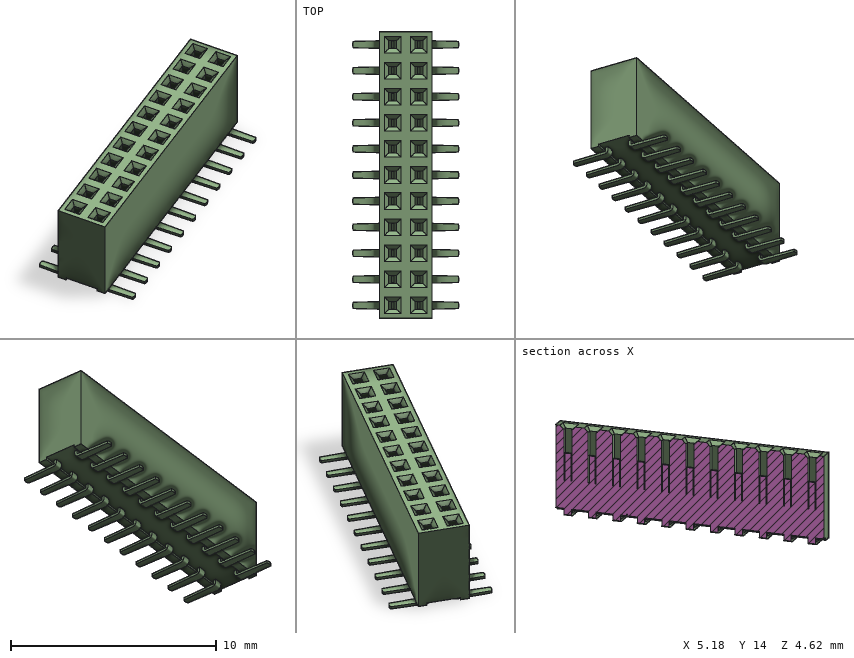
import cadquery as cq


rows = 11
body_length = 13.97
pitch = body_length / rows

overall_width = 5.18
overall_height = 4.62
body_width = 2.57
body_bottom = 0.24
channel_height = 0.13
foot_width = 0.43

funnel_size = 0.81
hole_size = 0.39
funnel_depth = 0.2
hole_depth = 2.8

lead_thickness = 0.14
lead_root_width = 0.4
lead_tip_width = 0.32
bend_inner_radius = 0.07
tip_bulge = 0.04
leg_width = 0.34
leg_height_in_socket = 1.4

column_x = pitch / 2
channel_top = body_bottom + channel_height
hole_floor = overall_height - hole_depth
leg_top = hole_floor + leg_height_in_socket
lead_tip_x = overall_width / 2
leg_inner_x = column_x - lead_thickness / 2
leg_outer_x = column_x + lead_thickness / 2
taper_start_x = leg_outer_x + bend_inner_radius
row_positions = [(row - (rows - 1) / 2) * pitch for row in range(rows)]


def make_housing():
    """Plain block with a channel along the underside between two feet."""
    block = cq.Workplane("XY").workplane(offset=body_bottom).box(
        body_width, body_length, overall_height - body_bottom, centered=(True, True, False)
    )
    channel = cq.Workplane("XY").workplane(offset=body_bottom).box(
        body_width - 2 * foot_width, body_length, channel_height, centered=(True, True, False)
    )
    return block.cut(channel)


def make_socket():
    """Cutter for one opening: a square hole below a tapered lead-in."""
    hole = cq.Workplane("XY").workplane(offset=hole_floor).rect(hole_size, hole_size).extrude(hole_depth)
    funnel = (
        cq.Workplane("XY")
        .workplane(offset=overall_height - funnel_depth)
        .rect(hole_size, hole_size)
        .workplane(offset=funnel_depth)
        .rect(funnel_size, funnel_size)
        .loft(ruled=True)
    )
    return hole.union(funnel)


def make_lead():
    """Right-hand lead: a leg coming out of the channel, bent outward to a tapered tail."""
    strip = (
        cq.Workplane("XZ")
        .moveTo(leg_inner_x, channel_top)
        .lineTo(leg_inner_x, 0)
        .lineTo(lead_tip_x, 0)
        .lineTo(lead_tip_x, lead_thickness)
        .lineTo(leg_outer_x, lead_thickness)
        .lineTo(leg_outer_x, channel_top)
        .close()
        .extrude(lead_root_width / 2, both=True)
    )
    bend_outer_radius = bend_inner_radius + lead_thickness
    strip = strip.edges(cq.NearestToPointSelector((leg_inner_x, 0, 0))).fillet(bend_outer_radius)
    strip = strip.edges(cq.NearestToPointSelector((leg_outer_x, 0, lead_thickness))).fillet(bend_inner_radius)
    plan = (
        cq.Workplane("XY")
        .moveTo(0, -lead_root_width / 2)
        .lineTo(taper_start_x, -lead_root_width / 2)
        .lineTo(lead_tip_x - tip_bulge, -lead_tip_width / 2)
        .threePointArc((lead_tip_x, 0), (lead_tip_x - tip_bulge, lead_tip_width / 2))
        .lineTo(taper_start_x, lead_root_width / 2)
        .lineTo(0, lead_root_width / 2)
        .close()
        .extrude(overall_height)
    )
    leg = (
        cq.Workplane("XY")
        .workplane(offset=channel_top)
        .center(column_x, 0)
        .rect(lead_thickness, leg_width)
        .extrude(leg_top - channel_top)
    )
    return strip.intersect(plan).union(leg)


right_lead = make_lead()
left_lead = right_lead.mirror("YZ")
socket = make_socket()

result = make_housing()
for row_y in row_positions:
    for side in (-1, 1):
        result = result.cut(socket.translate((side * column_x, row_y, 0)))
for row_y in row_positions:
    for lead in (left_lead, right_lead):
        result = result.union(lead.translate((0, row_y, 0)))